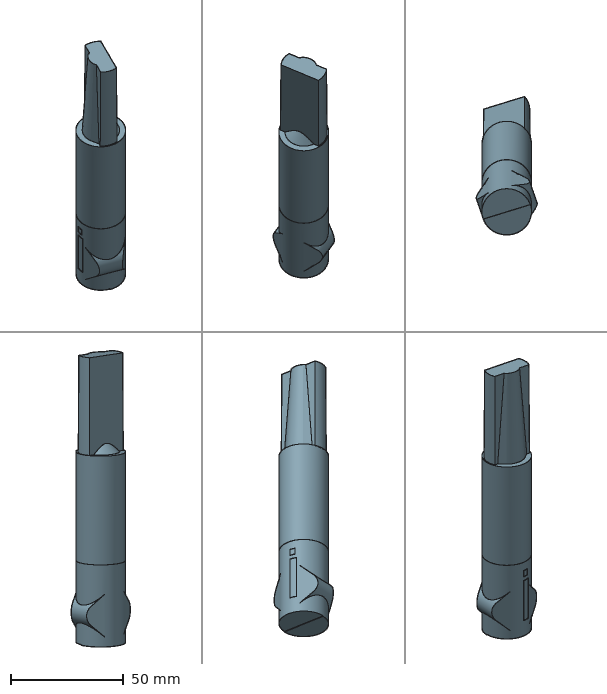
import cadquery as cq
import math

total_height = 130.0
shoulder_z = 86.1
sleeve_z = 37.0

body_radius = 22.1 / 2
sleeve_radius = 22.0 / 2
front_lift = 0.3

tang_base_half_width = 10.5
tang_top_half_width = 10.3
tang_base_flat_end = 9.6
tang_top_flat_end = 9.5
tang_base_half_thickness = 4.0
tang_top_half_thickness = 3.8

rib_base_crest_y = 8.2
rib_top_crest_y = 5.6
rib_base_foot = 8.0
rib_top_foot = 4.3
rib_base_half_width = 5.0
rib_top_half_width = 3.4
rib_base_shoulder_y = 6.6
rib_top_shoulder_y = 4.7

buttress_radius = 8.3

wing_z = 14.2
wing_reach = 12.5
wing_corner_x = 10.9
wing_corner_half_height = 4.2
wing_flank_angle = 30

pad_radius = 11.2
pad_left = 1.0
label_width = 3.1
label_bottom = 8.0
label_height = 19.9
badge_width = 2.5
badge_bottom = 29.9
badge_height = 3.0


def make_body():
    """Sleeve and upper body; the -Y half of the sleeve ends slightly above the +Y half."""
    step = cq.Workplane("XY").rect(2 * body_radius, body_radius).extrude(front_lift)
    sleeve = cq.Workplane("XY").circle(sleeve_radius).extrude(sleeve_z)
    sleeve = sleeve.cut(step.translate((0, -body_radius / 2, 0)))
    upper = cq.Workplane("XY").workplane(offset=sleeve_z).circle(body_radius).extrude(shoulder_z - sleeve_z)
    return sleeve.union(upper)


def add_tang_section(plane, half_width, flat_end, half_thickness):
    """Draw a flat bar section with two flats parallel to X and bulging ends."""
    return (
        plane.moveTo(-flat_end, half_thickness)
        .lineTo(flat_end, half_thickness)
        .threePointArc((half_width, 0), (flat_end, -half_thickness))
        .lineTo(-flat_end, -half_thickness)
        .threePointArc((-half_width, 0), (-flat_end, half_thickness))
        .close()
    )


def make_tang():
    base = cq.Workplane("XY").workplane(offset=shoulder_z)
    section = add_tang_section(base, tang_base_half_width, tang_base_flat_end, tang_base_half_thickness)
    top = section.workplane(offset=total_height - shoulder_z)
    return add_tang_section(top, tang_top_half_width, tang_top_flat_end, tang_top_half_thickness).loft(ruled=True)


def add_rib_section(plane, foot, foot_y, half_width, shoulder_y, crest_y):
    """Draw a section with slanted sides and an arched crest towards -Y."""
    return (
        plane.moveTo(foot, 0)
        .lineTo(foot, -foot_y)
        .lineTo(half_width, -shoulder_y)
        .threePointArc((0, -crest_y), (-half_width, -shoulder_y))
        .lineTo(-foot, -foot_y)
        .lineTo(-foot, 0)
        .close()
    )


def make_rib():
    base = cq.Workplane("XY").workplane(offset=shoulder_z)
    section = add_rib_section(
        base,
        rib_base_foot,
        tang_base_half_thickness,
        rib_base_half_width,
        rib_base_shoulder_y,
        rib_base_crest_y,
    )
    top = section.workplane(offset=total_height - shoulder_z)
    return add_rib_section(
        top,
        rib_top_foot,
        tang_top_half_thickness,
        rib_top_half_width,
        rib_top_shoulder_y,
        rib_top_crest_y,
    ).loft(ruled=True)


def make_buttress():
    cone = cq.Solid.makeCone(buttress_radius, 0, buttress_radius, pnt=cq.Vector(0, 0, shoulder_z))
    back_half = (
        cq.Workplane("XY")
        .workplane(offset=shoulder_z)
        .rect(2 * body_radius, body_radius)
        .extrude(buttress_radius)
        .translate((0, body_radius / 2, 0))
    )
    return back_half.intersect(cq.Workplane(cone))


def make_wings():
    """Pointed profile with rounded tips, bounded by flats tangent to the sleeve."""
    angle = math.radians(wing_flank_angle)
    root_x = sleeve_radius * math.sin(angle)
    root_y = sleeve_radius * math.cos(angle)
    tip_y = root_y - (wing_reach - root_x) * math.tan(angle)
    root_half_height = wing_corner_half_height + wing_corner_x - root_x
    plan = (
        cq.Workplane("XY")
        .moveTo(root_x, root_y)
        .lineTo(wing_reach, tip_y)
        .lineTo(wing_reach, -tip_y)
        .lineTo(root_x, -root_y)
        .close()
        .extrude(2 * wing_z)
    )
    profile = (
        cq.Workplane("XZ")
        .moveTo(root_x, wing_z - root_half_height)
        .lineTo(wing_corner_x, wing_z - wing_corner_half_height)
        .threePointArc((wing_reach, wing_z), (wing_corner_x, wing_z + wing_corner_half_height))
        .lineTo(root_x, wing_z + root_half_height)
        .close()
        .extrude(body_radius, both=True)
    )
    wing = plan.intersect(profile)
    return wing.union(wing.mirror("YZ"))


def make_pad(width, bottom, height):
    disc = cq.Workplane("XY").workplane(offset=bottom).circle(pad_radius).extrude(height)
    strip = (
        cq.Workplane("XY")
        .workplane(offset=bottom)
        .moveTo(pad_left, 0)
        .lineTo(pad_left + width, 0)
        .lineTo(pad_left + width, -pad_radius)
        .lineTo(pad_left, -pad_radius)
        .close()
        .extrude(height)
    )
    return disc.intersect(strip)


result = (
    make_body()
    .union(make_tang())
    .union(make_rib())
    .union(make_buttress())
    .union(make_wings())
    .union(make_pad(label_width, label_bottom, label_height))
    .union(make_pad(badge_width, badge_bottom, badge_height))
)